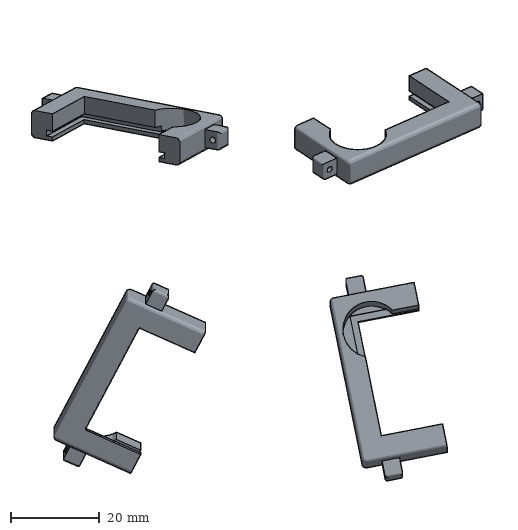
import cadquery as cq

overall_width = 47
frame_width = 39
frame_depth = 19.5
frame_height = 6.5
wall = 5.55
edge_radius = 1.0

groove_depth = 1.55
groove_floor = 1.0
groove_height = 1.35
lip_overhang = 0.15

pocket_radius = 6.45
pocket_x = 10.55
pocket_y = -7.95
pocket_floor = 1.3

peg_width = 4.05
peg_height = 4.32
peg_back_gap = 4.45
peg_edge_radius = 0.65
peg_hole_diameter = 1.4
peg_hole_inset = 1.95

opening_width = frame_width - 2 * wall
opening_depth = frame_depth - wall
peg_length = (overall_width - frame_width) / 2
bottom = -frame_height / 2


def block(width, depth, height, back_y, base_z):
    """Box centred on X, running toward -Y from back_y and up from base_z."""
    return (
        cq.Workplane("XY")
        .box(width, depth, height, centered=(True, False, False))
        .translate((0, back_y - depth, base_z))
    )


def make_frame():
    """U-shaped frame with its outer edges rounded and its front ends sharp."""
    body = block(frame_width, frame_depth, frame_height, 0, bottom)
    body = body.edges("|Y or >Y").fillet(edge_radius)
    opening = block(opening_width, opening_depth, frame_height, -wall, bottom)
    upper_opening = block(
        opening_width,
        opening_depth + lip_overhang,
        frame_height,
        lip_overhang - wall,
        bottom + groove_floor,
    )
    groove = block(
        opening_width + 2 * groove_depth,
        opening_depth + groove_depth,
        groove_height,
        groove_depth - wall,
        bottom + groove_floor,
    )
    return body.cut(opening).cut(upper_opening).cut(groove)


def make_pocket():
    """Cylinder that opens the inner corner from the top face."""
    return (
        cq.Workplane("XY", origin=(pocket_x, pocket_y, bottom + pocket_floor))
        .circle(pocket_radius)
        .extrude(frame_height - pocket_floor)
    )


def make_peg(side):
    """Peg on one side (-1 or +1) with a rounded tip and a hole along Y."""
    peg_y = -peg_back_gap - peg_width / 2
    center_x = side * (frame_width + peg_length) / 2
    peg = cq.Workplane("XY").box(peg_length, peg_width, peg_height)
    tip = ">X" if side > 0 else "<X"
    peg = peg.faces(tip).edges().fillet(peg_edge_radius)
    hole_x = side * (peg_length / 2 - peg_hole_inset)
    hole = (
        cq.Workplane("XZ", origin=(hole_x, 0, 0))
        .circle(peg_hole_diameter / 2)
        .extrude(peg_width / 2, both=True)
    )
    return peg.cut(hole).translate((center_x, peg_y, 0))


result = make_frame().cut(make_pocket())
for side in (-1, 1):
    result = result.union(make_peg(side))